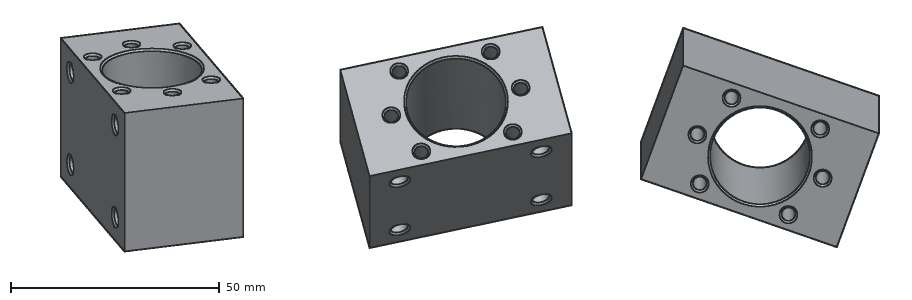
import cadquery as cq

length = 50.0
width = 30.0
height = 36.0

bore_diameter = 24.0
bore_chamfer = 0.5

flange_hole_diameter = 3.3
flange_hole_chamfer = 0.5
flange_circle_radius = 16.0
flange_hole_angles = (0, 45, 135, 180, 225, 315)

mount_hole_diameter = 4.2
mount_hole_chamfer = 0.5
mount_hole_depth = 10.0
mount_spacing_x = 35.0
mount_spacing_z = 24.0


def chamfered_cutter(diameter, depth, chamfer, both_ends=False):
    """Hole volume going down from the origin, widened at its open ends."""
    radius = diameter / 2
    wide = radius + chamfer
    profile = cq.Workplane("XZ").lineTo(wide, 0).lineTo(radius, -chamfer)
    if both_ends:
        profile = profile.lineTo(radius, chamfer - depth).lineTo(wide, -depth)
    else:
        profile = profile.lineTo(radius, -depth)
    return profile.lineTo(0, -depth).close().revolve(360, (0, 0, 0), (0, 1, 0))


result = cq.Workplane("XY").box(length, width, height)

bore = chamfered_cutter(bore_diameter, height, bore_chamfer, both_ends=True)
result = result.cut(bore.translate((0, 0, height / 2)))

flange_hole = chamfered_cutter(flange_hole_diameter, height, flange_hole_chamfer, both_ends=True)
for angle in flange_hole_angles:
    placed_hole = flange_hole.translate((flange_circle_radius, 0, height / 2))
    result = result.cut(placed_hole.rotate((0, 0, 0), (0, 0, 1), angle))

mount_hole = chamfered_cutter(mount_hole_diameter, mount_hole_depth, mount_hole_chamfer)
mount_hole = mount_hole.rotate((0, 0, 0), (1, 0, 0), 90)
for side_x in (-1, 1):
    for side_z in (-1, 1):
        position = (side_x * mount_spacing_x / 2, -width / 2, side_z * mount_spacing_z / 2)
        result = result.cut(mount_hole.translate(position))